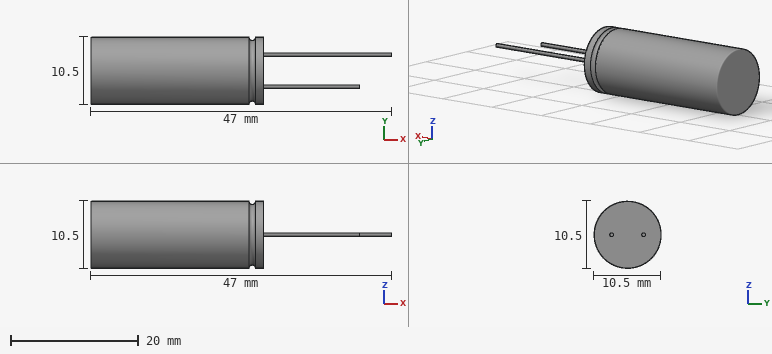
import cadquery as cq

can_length = 27.01
can_diameter = 10.5
can_radius = can_diameter / 2
closed_end_fillet = 0.2

rim_width = 1.27
groove_width = 1.0
groove_radius = groove_width / 2
groove_end = can_length - rim_width
groove_middle = groove_end - groove_radius
groove_start = groove_end - groove_width

lead_diameter = 0.6
lead_pitch = 5.0
long_lead_length = 20.0
short_lead_length = 15.0


def make_can():
    """Revolve the can about X and round the rim of its closed end."""
    profile = (
        cq.Workplane("XY")
        .lineTo(0, can_radius)
        .lineTo(groove_start, can_radius)
        .threePointArc((groove_middle, can_radius - groove_radius), (groove_end, can_radius))
        .lineTo(can_length, can_radius)
        .lineTo(can_length, 0)
        .close()
    )
    can = profile.revolve(360, (0, 0, 0), (1, 0, 0))
    return can.faces("<X").edges().fillet(closed_end_fillet)


def make_lead(y_position, length):
    """Straight round wire that starts on the lead end of the can."""
    return (
        cq.Workplane("YZ", origin=(can_length, y_position, 0))
        .circle(lead_diameter / 2)
        .extrude(length)
    )


can = make_can()

lead_layout = [
    (lead_pitch / 2, long_lead_length),
    (-lead_pitch / 2, short_lead_length),
]
leads = [make_lead(y_position, length) for y_position, length in lead_layout]

result = cq.Compound.makeCompound([can.val(), *[lead.val() for lead in leads]])